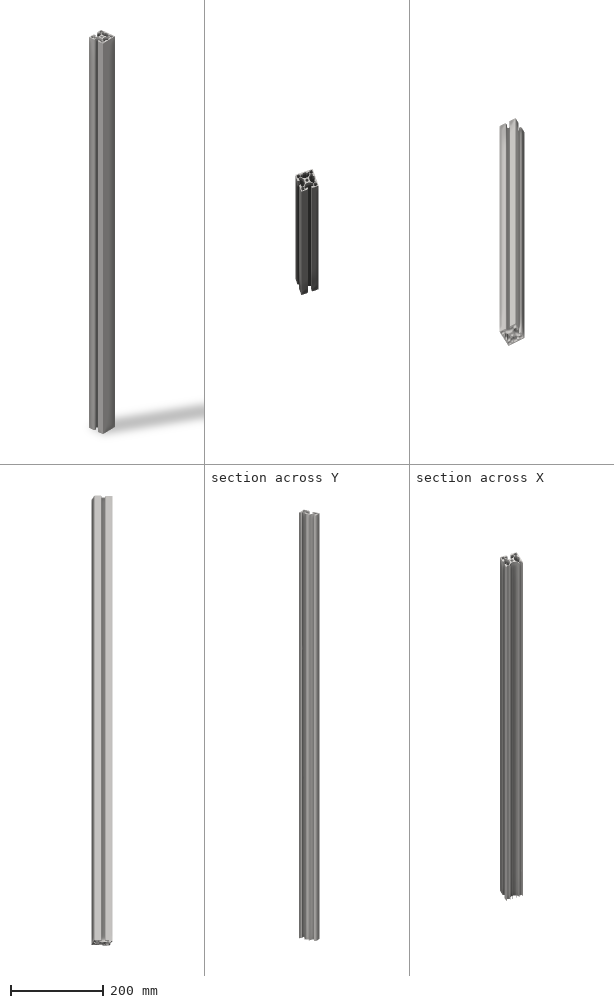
import cadquery as cq
import math

side = 40.0
length = 1000.0
half_side = side / 2

mouth_width = 8.8
mouth_chamfer = 1.4
lip_thickness = 5.2
lip_root_thickness = 3.0
chamber_width = 20.6
slot_depth = 14.1
floor_fillet = 9.0
chamber_fillet = 1.8

web_thickness = 1.3
closed_wall = 2.0
recess_fillet = 2.0
bore_diameter = 6.8
hollow_inner = 11.0
hollow_outer = 18.1
hollow_fillet = 2.0

open_slot_angles = (180, 270)
closed_slot_angles = (0, 90)


def slot_chamber():
    """Chamber of a slot facing +X; its 45 degree flanks leave diagonal webs to the corners."""
    lip_x = half_side - lip_thickness
    floor_x = half_side - slot_depth
    flank_offset = web_thickness / 2 * math.sqrt(2)
    half_chamber = chamber_width / 2
    half_floor = floor_x - flank_offset
    shoulder_x = half_chamber + flank_offset
    root_x = half_side - lip_root_thickness
    half_mouth = mouth_width / 2
    outline = [
        (root_x, -half_chamber),
        (lip_x, -half_mouth),
        (lip_x, half_mouth),
        (root_x, half_chamber),
        (shoulder_x, half_chamber),
        (floor_x, half_floor),
        (floor_x, -half_floor),
        (shoulder_x, -half_chamber),
    ]
    chamber = cq.Workplane("XY").polyline(outline).close().extrude(length)
    chamber = chamber.edges("|Z and <X").fillet(floor_fillet)
    return chamber.edges("|Z and >X").fillet(chamber_fillet)


def mouth(outer_x):
    """Passage from the lip edges of a slot facing +X out to outer_x."""
    lip_x = half_side - lip_thickness
    return (
        cq.Workplane("XY")
        .center((lip_x + outer_x) / 2, 0)
        .rect(outer_x - lip_x, mouth_width)
        .extrude(length)
    )


def mouth_flare():
    """45 degree chamfers on both lips of an open slot facing +X."""
    half_mouth = mouth_width / 2
    half_flare = half_mouth + mouth_chamfer
    flare_x = half_side - mouth_chamfer
    outline = [
        (flare_x, -half_mouth),
        (half_side, -half_flare),
        (half_side, half_flare),
        (flare_x, half_mouth),
    ]
    return cq.Workplane("XY").polyline(outline).close().extrude(length)


def open_slot():
    return slot_chamber().union(mouth(half_side)).union(mouth_flare())


def closed_slot():
    recess = mouth(half_side - closed_wall).edges("|Z and >X").fillet(recess_fillet)
    return slot_chamber().union(recess)


def corner_hollows():
    """Four square hollows, one in each corner of the profile."""
    hollow_size = hollow_outer - hollow_inner
    spacing = hollow_outer + hollow_inner
    return (
        cq.Workplane("XY")
        .rect(spacing, spacing, forConstruction=True)
        .vertices()
        .rect(hollow_size, hollow_size)
        .extrude(length)
        .edges("|Z")
        .fillet(hollow_fillet)
    )


def rotated(slot, angle):
    return slot.rotate((0, 0, 0), (0, 0, 1), angle)


profile = cq.Workplane("XY").rect(side, side).extrude(length)
for angle in open_slot_angles:
    profile = profile.cut(rotated(open_slot(), angle))
for angle in closed_slot_angles:
    profile = profile.cut(rotated(closed_slot(), angle))
profile = profile.cut(corner_hollows())
result = profile.cut(cq.Workplane("XY").circle(bore_diameter / 2).extrude(length))